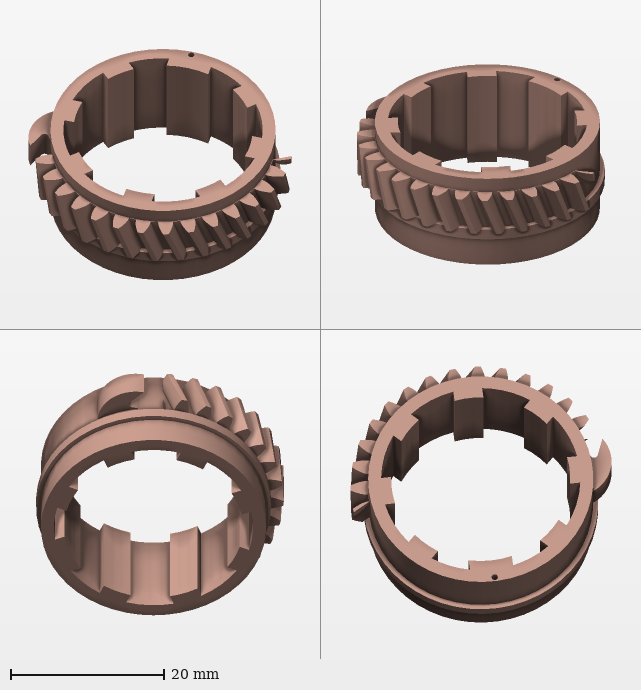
import cadquery as cq
import math

height = 13.0
ring_radius = 29.4 / 2
bore_radius = 13.0

flange_radius = 30.67 / 2
flange_bottom = 4.2
flange_top = 5.7

lug_tip_radius = 11.7
lug_count = 8
lug_pitch = 360 / lug_count
lug_width = 3.8
wide_lug_width = 5.67
wide_lug_index = 2
first_lug_angle = 21.5
lug_pattern_center = (0.05, 0.2)

tooth_count = 32
pitch_radius = 16.0
tip_radius = 17.0
root_radius = 14.75
pressure_angle = math.radians(20)
base_radius = pitch_radius * math.cos(pressure_angle)
helix_angle = math.radians(20)
gear_bottom = 6.0
gear_width = 5.0
gear_top = gear_bottom + gear_width
tooth_pitch = 360 / tooth_count
first_tooth_angle = 218.3
sector_tooth_count = 16
flank_points = 5

sector_start_angle = 226.8
sector_end_point = (13.57, 5.95)
sector_end_direction = 51.6

hook_bottom = 6.7
hook_top = 10.42
hook_heel = (-14.5, -3.28)
hook_heel_root = (-13.37, -3.35)
hook_back = (-15.75, -6.62)
hook_tip = (-13.63, -10.7)
notch_radius = 1.0 / 2
notch_center_y = -8.3
notch_exit_slope = math.radians(-35)
notch_exit_length = 1.6

pin_diameter = 0.82
pin_depth = 2.0
pin_center = (-5.28, 13.1)

joint_radius = 13.75


def polar(radius, degrees):
    angle = math.radians(degrees)
    return (radius * math.cos(angle), radius * math.sin(angle))


def tube(outer_radius, inner_radius, bottom, top):
    base = cq.Workplane("XY").workplane(offset=bottom)
    return base.circle(outer_radius).circle(inner_radius).extrude(top - bottom)


def make_lugs():
    """Parallel-sided lugs trimmed to the bore wall and to the lug tip circle."""
    bars = cq.Workplane("XY")
    for index in range(lug_count):
        width = wide_lug_width if index == wide_lug_index else lug_width
        bar = (
            cq.Workplane("XY")
            .center(joint_radius / 2, 0)
            .rect(joint_radius, width)
            .extrude(height)
            .rotate((0, 0, 0), (0, 0, 1), first_lug_angle + index * lug_pitch)
        )
        bars.add(bar)
    bars = bars.combine().translate((*lug_pattern_center, 0))
    return bars.intersect(tube(joint_radius, lug_tip_radius, 0, height))


def half_tooth_angle(radius):
    """Half the angle, in degrees, covered by an involute tooth at a radius."""
    def involute(angle):
        return math.tan(angle) - angle

    flank_angle = math.acos(base_radius / radius)
    half_angle = math.pi / (2 * tooth_count) + involute(pressure_angle) - involute(flank_angle)
    return math.degrees(half_angle)


def make_tooth():
    """One helical tooth, centred on the X axis at the top face of the gear."""
    step = (tip_radius - base_radius) / (flank_points - 1)
    radii = [base_radius + step * i for i in range(flank_points)]
    lower_flank = [polar(r, -half_tooth_angle(r)) for r in radii]
    upper_flank = [polar(r, half_tooth_angle(r)) for r in reversed(radii)]
    root_half_angle = half_tooth_angle(base_radius)
    twist = math.degrees(gear_width * math.tan(helix_angle) / pitch_radius)
    return (
        cq.Workplane("XY")
        .moveTo(*polar(joint_radius, -root_half_angle))
        .lineTo(*lower_flank[0])
        .spline(lower_flank[1:], includeCurrent=True)
        .threePointArc((tip_radius, 0), upper_flank[0])
        .spline(upper_flank[1:], includeCurrent=True)
        .lineTo(*polar(joint_radius, root_half_angle))
        .close()
        .twistExtrude(gear_width, -twist)
        .rotate((0, 0, 0), (0, 0, 1), twist)
        .translate((0, 0, gear_bottom))
    )


def make_sector():
    """Prism that bounds the toothed part of the circumference."""
    reach = 2 * tip_radius
    end_step = polar(1, sector_end_direction)

    def along_end(distance):
        return tuple(p + distance * d for p, d in zip(sector_end_point, end_step))

    outline = [
        polar(bore_radius, sector_start_angle),
        polar(reach, sector_start_angle),
        (reach, -reach),
        along_end(reach),
        along_end(bore_radius - root_radius),
    ]
    return cq.Workplane("XY").workplane(offset=gear_bottom).polyline(outline).close().extrude(gear_width)


def make_gear():
    gear = tube(root_radius, joint_radius, gear_bottom, gear_top)
    tooth = make_tooth()
    for index in range(sector_tooth_count):
        angle = first_tooth_angle + index * tooth_pitch
        gear = gear.union(tooth.rotate((0, 0, 0), (0, 0, 1), angle))
    return gear.intersect(make_sector())


def make_hook():
    """Curved hook whose notch has a rounded end and a sloping exit to the sleeve."""
    notch_x = hook_tip[0] + notch_radius
    exit_angle = 90 + math.degrees(notch_exit_slope)

    def on_notch(degrees):
        x, y = polar(notch_radius, degrees)
        return (notch_x + x, notch_center_y + y)

    exit_point = on_notch(exit_angle)
    notch_root = (
        exit_point[0] + notch_exit_length * math.cos(notch_exit_slope),
        exit_point[1] + notch_exit_length * math.sin(notch_exit_slope),
    )
    return (
        cq.Workplane("XY")
        .workplane(offset=hook_bottom)
        .moveTo(*hook_heel)
        .threePointArc(hook_back, hook_tip)
        .lineTo(hook_tip[0], notch_center_y)
        .threePointArc(on_notch((180 + exit_angle) / 2), exit_point)
        .lineTo(*notch_root)
        .lineTo(*hook_heel_root)
        .close()
        .extrude(hook_top - hook_bottom)
        .cut(cq.Workplane("XY").circle(joint_radius).extrude(height))
    )


sleeve = tube(ring_radius, bore_radius, 0, height)
flange = tube(flange_radius, joint_radius, flange_bottom, flange_top)
pin_hole = (
    cq.Workplane("XY")
    .workplane(offset=height - pin_depth)
    .center(*pin_center)
    .circle(pin_diameter / 2)
    .extrude(pin_depth)
)

result = (
    sleeve.union(flange)
    .union(make_lugs())
    .union(make_gear())
    .union(make_hook())
    .cut(pin_hole)
)